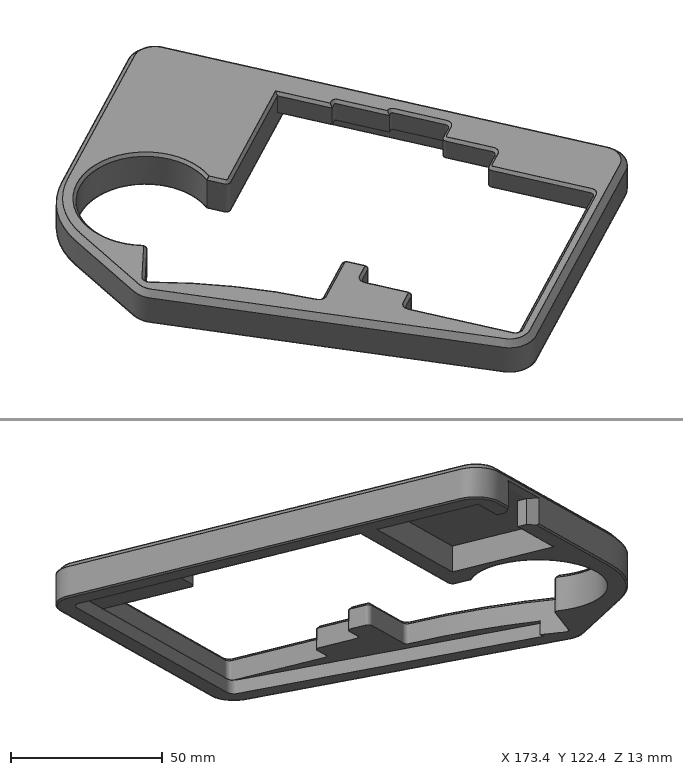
import cadquery as cq
import math

length = 173.4
width = 122.5
height = 13.0
corner_radius = 9.2
left_sweep_radius = 32.3
left_sweep_corner = (0.0, 29.3)
front_apex = (43.5, -0.3)
front_right_corner = (length, 15.6)
top_bevel = 2.0
bottom_bevel = 0.5

wall = 6.5
plate_underside = 4.9

circle_x = 29.7
circle_y = 45.3
circle_radius = 22.9

opening_left = 52.9
opening_right = 168.0
block_front = 62.0
back_steps = [(72.0, 110.5), (91.0, 113.0), (111.5, 114.8), (130.5, 106.8), (opening_right, 97.6)]

opening_front = 21.5
tab_right = 128.3
tab_y = 29.7
stem_right = 110.3
stem_y = 37.8
stem_left = 101.3
curve_end_y = 16.3
curve_middle = (71.1, 13.4)
wedge_tip = (43.2, 5.9)
wedge_top_x = 37.6

opening_fillet = 1.5
step_fillet = 0.5
opening_bevel = 1.0

slot_y = 98.7
slot_throat_width = 12.3
slot_throat_height = 9.2
slot_flare = 3.0
slot_mouth_width = slot_throat_width + 2 * slot_flare
slot_mouth_height = 9.7
pocket_front = 71.1
pocket_back = width - wall
pocket_right = opening_left - wall


def round_corners(prism, corners, radius):
    """Fillet the upright edges of a prism standing on z = 0 at the given corners."""
    for x, y in corners:
        nearest = cq.selectors.NearestToPointSelector((x, y, height / 2))
        prism = prism.edges("|Z").edges(nearest).fillet(radius)
    return prism


def slab(x_range, y_range, top):
    """Block between two x and two y places, from z = 0 up to top."""
    size_x = x_range[1] - x_range[0]
    size_y = y_range[1] - y_range[0]
    block = cq.Workplane("XY").box(size_x, size_y, top, centered=False)
    return block.translate((x_range[0], y_range[0], 0))


def outer_prism():
    small_corners = [front_apex, front_right_corner, (length, width), (0, width)]
    prism = cq.Workplane("XY").polyline([left_sweep_corner] + small_corners).close().extrude(height)
    prism = round_corners(prism, [left_sweep_corner], left_sweep_radius)
    return round_corners(prism, small_corners, corner_radius)


def back_staircase():
    """Corners of the back edge, from left to right and down to the front edge."""
    next_levels = [y for x, y in back_steps[1:]] + [opening_front]
    corners = []
    for (x, y), next_y in zip(back_steps, next_levels):
        corners += [(x, y), (x, next_y)]
    return corners


def opening_prism():
    block_x = circle_x + math.sqrt(circle_radius**2 - (block_front - circle_y) ** 2)
    wedge_top_y = circle_y - math.sqrt(circle_radius**2 - (wedge_top_x - circle_x) ** 2)
    wedge_top = (wedge_top_x, wedge_top_y)
    circle_start = (block_x, block_front)
    circle_left = (circle_x - circle_radius, circle_y)
    block_corner = (opening_left, block_front)
    back_left_corner = (opening_left, back_steps[0][1])
    back_corners = back_staircase()
    front_corners = [
        (tab_right, opening_front),
        (tab_right, tab_y),
        (stem_right, tab_y),
        (stem_right, stem_y),
        (stem_left, stem_y),
        (stem_left, curve_end_y),
    ]

    straight_run = [circle_start, block_corner, back_left_corner] + back_corners + front_corners
    outline = cq.Workplane("XY").polyline(straight_run)
    outline = outline.threePointArc(curve_middle, wedge_tip).lineTo(*wedge_top)
    outline = outline.threePointArc(circle_left, circle_start)
    prism = outline.close().extrude(height)

    low_step_corners = [back_corners[1], back_corners[3]]
    prism = round_corners(prism, low_step_corners, step_fillet)
    full_corners = [block_corner] + back_corners[4:] + front_corners + [wedge_tip, wedge_top]
    return round_corners(prism, full_corners, opening_fillet)


def slot_cutter():
    """Funnel that narrows from the left face to the throat, then runs straight to the pocket."""
    funnel = (
        cq.Workplane("YZ")
        .center(slot_y, 0)
        .rect(slot_mouth_width, 2 * slot_mouth_height)
        .workplane(offset=slot_flare)
        .rect(slot_throat_width, 2 * slot_throat_height)
        .loft(ruled=True)
    )
    throat_sides = (slot_y - slot_throat_width / 2, slot_y + slot_throat_width / 2)
    return funnel.union(slab((slot_flare, wall), throat_sides, slot_throat_height))


outer = outer_prism()
body = outer.faces(">Z").chamfer(top_bevel).faces("<Z").chamfer(bottom_bevel)

opening = opening_prism()
body = body.cut(opening.translate((0, 0, plate_underside)))
body = body.cut(opening.intersect(slab((0, opening_left), (0, width), height)))
opening_rim = body.faces(">Z").val().innerWires()[0]
body = body.newObject(opening_rim.Edges()).chamfer(opening_bevel)

rim_outline = outer.faces("<Z").wires().val().offset2D(-wall)
inside_rim = cq.Workplane("XY").newObject(rim_outline).toPending().extrude(plate_underside)
body = body.cut(inside_rim.intersect(slab((opening_left, length), (0, width), plate_underside)))

body = body.cut(slab((wall, pocket_right), (pocket_front, pocket_back), slot_throat_height))
result = body.cut(slot_cutter())